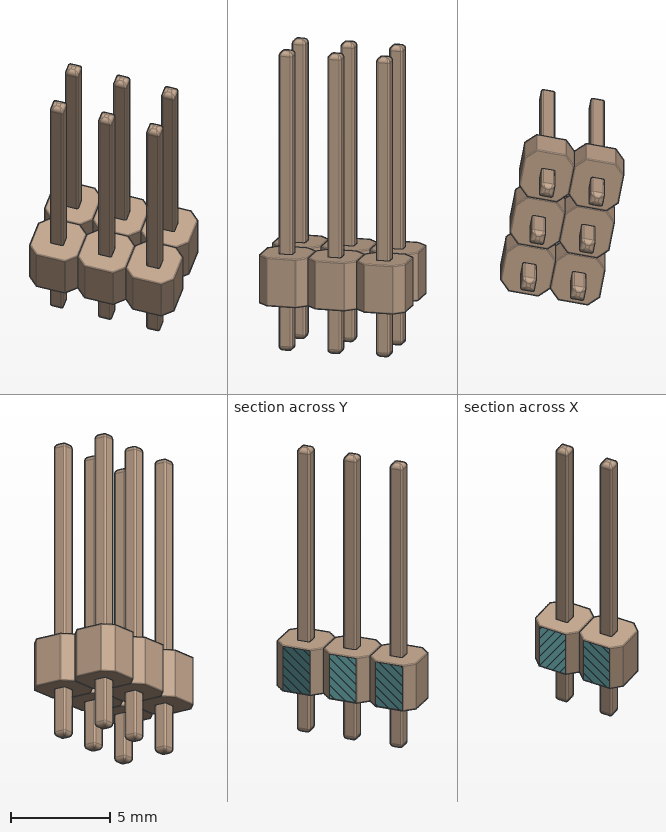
import cadquery as cq

COLUMNS = 3
ROWS = 2
HEADER_LENGTH = 7.61
PITCH = HEADER_LENGTH / COLUMNS

BLOCK_WIDTH = PITCH
BLOCK_HEIGHT = 2.52
BLOCK_CORNER = 0.51
BLOCK_EDGE_RADIUS = 0.05

PIN_LENGTH = 15.54
PIN_WIDTH = 0.7
PIN_CORNER_RADIUS = 0.1
PIN_TIP_RADIUS = 0.25
PIN_TAIL = 2.52
PIN_OFFSET = 0.02


def make_block():
    """Octagonal block standing on Z = 0, with every edge lightly rounded."""
    return (
        cq.Workplane("XY")
        .rect(BLOCK_WIDTH, BLOCK_WIDTH)
        .extrude(BLOCK_HEIGHT)
        .edges("|Z")
        .chamfer(BLOCK_CORNER)
        .edges()
        .fillet(BLOCK_EDGE_RADIUS)
    )


def make_round_ended_bar():
    """Upright bar with the pin's section, its end edges along Y rounded over."""
    return (
        cq.Workplane("XY")
        .box(PIN_WIDTH, PIN_WIDTH, PIN_LENGTH)
        .edges("|Y")
        .fillet(PIN_TIP_RADIUS)
    )


def make_pin():
    """Square pin in its place in a block, with domed tips and rounded corners that fade out up the domes."""
    bar = make_round_ended_bar()
    quarter_turned_bar = bar.rotate((0, 0, 0), (0, 0, 1), 90)
    pin = bar.intersect(quarter_turned_bar)
    pin = pin.edges("|Z").fillet(PIN_CORNER_RADIUS)
    return pin.translate((PIN_OFFSET, PIN_OFFSET, PIN_LENGTH / 2 - PIN_TAIL))


def make_header_cell(column, row):
    """One block with its pin, as a single solid at its place in the grid."""
    x = (column - (COLUMNS - 1) / 2) * PITCH
    y = (row - (ROWS - 1) / 2) * PITCH
    return make_block().union(make_pin()).translate((x, y, 0))


header_cells = [
    make_header_cell(column, row)
    for column in range(COLUMNS)
    for row in range(ROWS)
]

result = cq.Compound.makeCompound([cell.val() for cell in header_cells])